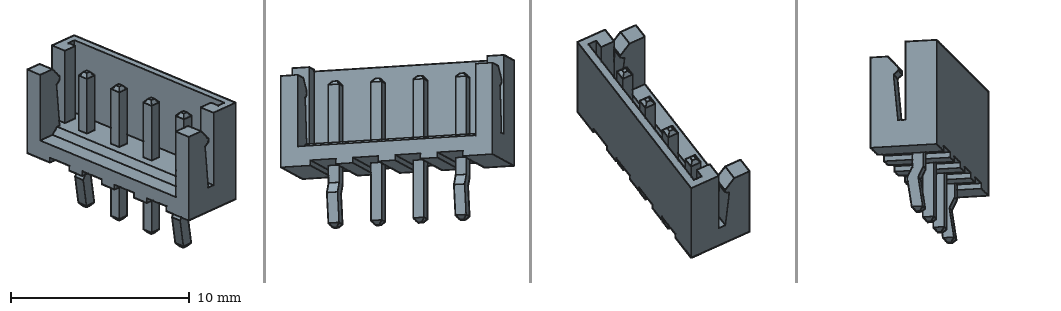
import cadquery as cq


width = 12.5
depth = 3.8
height = 6.0
end_wall = 1.0
floor_top = 1.5
front_sill = 1.12
back_wall = 0.45
groove_wall = 0.45
groove_front = 0.95
post_depth = 1.8

arm_top = 5.2
arm_root = 2.22
arm_neck = 2.48
neck_height = 4.12
hook_reach = 2.2
hook_low = 4.35
hook_high = 4.52
hook_shoulder = 2.8

ramp_end = hook_shoulder
ramp_start = ramp_end - (floor_top - front_sill)

notch_width = 1.5
notch_height = 0.3

pin_count = 4
pitch = 2.5
pin_size = 0.64
pin_setback = 1.6
pin_top = 5.12
pin_bottom = -3.2
tip_length = 0.22
tip_size = 0.25

kink_start = -0.69
kink_peak = -1.29
kink_offset = 0.3
kink_end_offset = 0.04

back = depth / 2
pin_y = back - pin_setback
pin_xs = [(i - (pin_count - 1) / 2) * pitch for i in range(pin_count)]
shoulder_top = pin_top - tip_length
shoulder_bottom = pin_bottom + tip_length


def box(x_min, x_max, y_min, y_max, z_min, z_max):
    size = (x_max - x_min, y_max - y_min, z_max - z_min)
    return cq.Workplane("XY").box(*size, centered=False).translate((x_min, y_min, z_min))


def extrude_along_x(outline, length):
    """Extrude a closed (y, z) outline by length, centred on X = 0."""
    return cq.Workplane("YZ").polyline(outline).close().extrude(length / 2, both=True)


def make_housing():
    profile = [
        (-back, 0),
        (back, 0),
        (back, height),
        (back - post_depth, height),
        (back - post_depth, floor_top),
        (back - arm_root, floor_top),
        (back - arm_neck, neck_height),
        (back - hook_reach, hook_low),
        (back - hook_reach, hook_high),
        (back - hook_shoulder, arm_top),
        (-back, arm_top),
    ]
    housing = extrude_along_x(profile, width)

    cavity = [
        (back - back_wall, floor_top),
        (back - back_wall, height),
        (-back, height),
        (-back, front_sill),
        (back - ramp_end, front_sill),
        (back - ramp_start, floor_top),
    ]
    housing = housing.cut(extrude_along_x(cavity, width - 2 * end_wall))

    groove_x = width / 2 - groove_wall
    groove = box(-groove_x, groove_x, back - groove_front, back - back_wall, floor_top, height)
    housing = housing.cut(groove)

    for x in pin_xs:
        notch = box(x - notch_width / 2, x + notch_width / 2, -back, back, 0, notch_height)
        housing = housing.cut(notch)
    return housing


def pin_tip(y, z, length):
    """Pointed pin end from the shoulder at z; a negative length points down."""
    return (
        cq.Workplane("XY", origin=(0, y, z))
        .rect(pin_size, pin_size)
        .workplane(offset=length)
        .rect(tip_size, tip_size)
        .loft(ruled=True)
    )


def make_pin(kinked):
    path = [(0, shoulder_top)]
    if kinked:
        path += [(0, kink_start), (kink_offset, kink_peak), (kink_end_offset, shoulder_bottom)]
    else:
        path += [(0, shoulder_bottom)]
    front_edge = [(pin_y - offset - pin_size / 2, z) for offset, z in path]
    back_edge = [(pin_y - offset + pin_size / 2, z) for offset, z in path]
    shank = extrude_along_x(front_edge + back_edge[::-1], pin_size)

    end_y = pin_y - path[-1][0]
    top = pin_tip(pin_y, shoulder_top, tip_length)
    bottom = pin_tip(end_y, shoulder_bottom, -tip_length)
    return shank.union(top).union(bottom)


result = make_housing()
for x in pin_xs:
    is_outer = x in (pin_xs[0], pin_xs[-1])
    result = result.union(make_pin(is_outer).translate((x, 0, 0)))